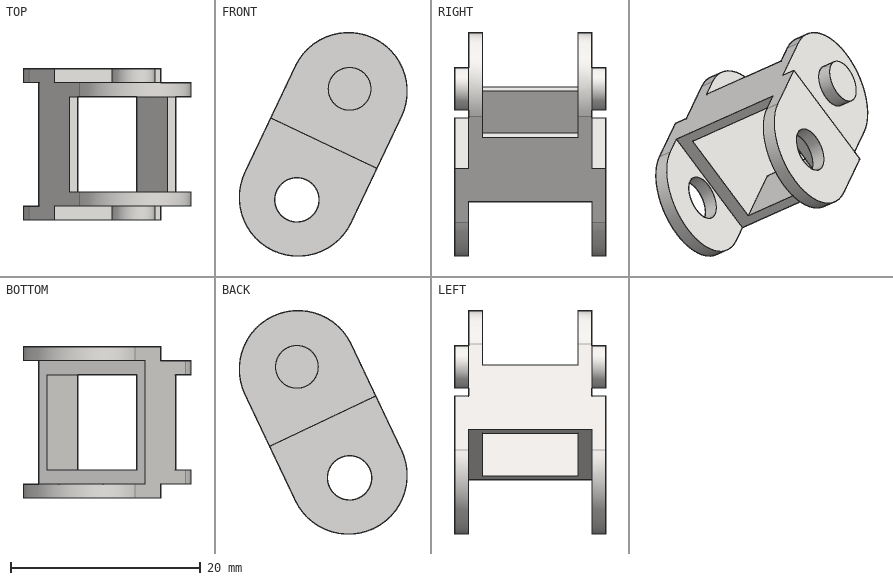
import cadquery as cq

tilt = 25.4
link_width = 12.42
arc_spacing = 12.4
pivot_pitch = 12.97
hole_diameter = 4.65
pin_diameter = 4.5

overall_depth = 16.0
plate_thickness = 1.49
wall_thickness = 1.0
body_half_height = 3.78
step_height = 0.15

upper_depth = overall_depth - 2 * plate_thickness
inner_gap = upper_depth - 2 * plate_thickness
link_height = arc_spacing + link_width


def box_between(width, depth, bottom, top):
    """Box centred in X and Y, spanning bottom to top in Z."""
    return cq.Workplane("XY").workplane(offset=bottom).rect(width, depth).extrude(top - bottom)


def cylinder_along_y(diameter, depth, height):
    """Cylinder along Y, centred at Y = 0, with its axis at the given height."""
    return cq.Workplane("XZ").center(0, height).circle(diameter / 2).extrude(depth / 2, both=True)


def rounded_link(depth):
    """Full link outline with rounded ends, centred on the origin."""
    outline = cq.Workplane("XZ").slot2D(link_height, link_width, 90)
    return outline.extrude(depth / 2, both=True)


def lower_lugs():
    """Outer pair of lugs, each with a pivot hole."""
    lugs = rounded_link(overall_depth).intersect(
        box_between(link_width, overall_depth, -link_height / 2, step_height)
    )
    lugs = lugs.cut(box_between(link_width, upper_depth, -link_height / 2, step_height))
    return lugs.cut(cylinder_along_y(hole_diameter, overall_depth, -pivot_pitch / 2))


def upper_body():
    """Inner pair of plates joined by two side walls."""
    body = rounded_link(upper_depth).intersect(
        box_between(link_width, upper_depth, -body_half_height, link_height / 2)
    )
    cavity_width = link_width - 2 * wall_thickness
    body = body.cut(box_between(cavity_width, inner_gap, -body_half_height, body_half_height))
    return body.cut(box_between(link_width, inner_gap, body_half_height, link_height / 2))


def pins():
    """Pin stubs on the outer faces of the upper plates."""
    full_pin = cylinder_along_y(pin_diameter, overall_depth, pivot_pitch / 2)
    return full_pin.cut(box_between(link_width, upper_depth, 0, link_height / 2))


link = upper_body().union(lower_lugs()).union(pins())
result = link.rotate((0, 0, 0), (0, 1, 0), tilt)